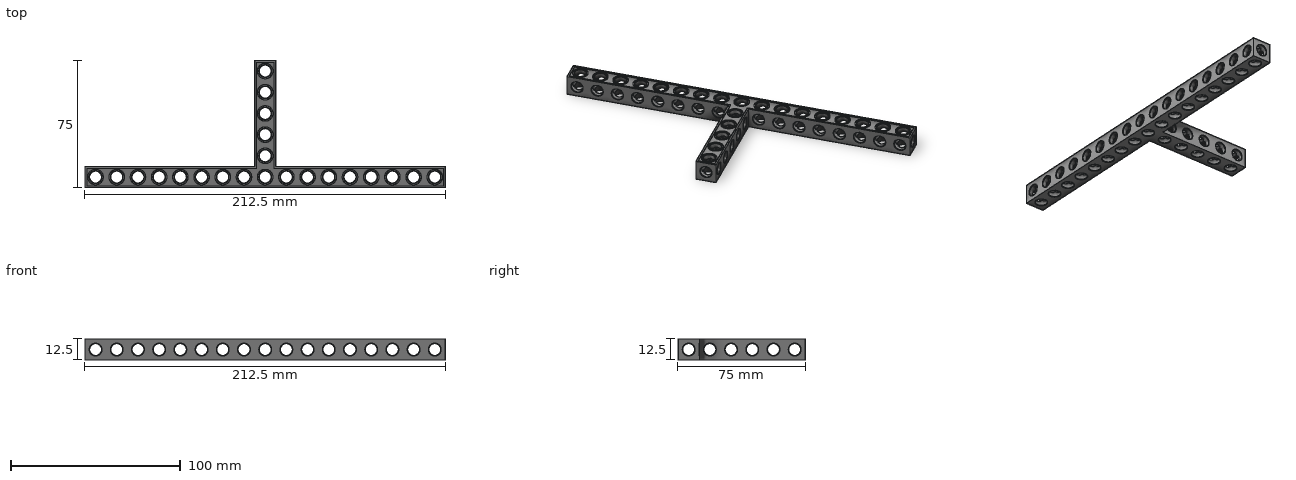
import cadquery as cq

pitch = 12.5
bar_holes = 17
branch_holes = 5
hole_diameter = 7.0
hole_chamfer = 0.3
hub_diameter = 9.2
rim_width = 1.1
recess_depth = 0.3

half = pitch / 2
bar_length = bar_holes * pitch
branch_end = branch_holes * pitch + half
bar_positions = [(i - (bar_holes - 1) / 2) * pitch for i in range(bar_holes)]
branch_positions = [(j + 1) * pitch for j in range(branch_holes)]
vertical_centers = [(x, 0) for x in bar_positions] + [(0, y) for y in branch_positions]


def tee_prism(inset, bottom, height):
    """T-shaped prism with its outline moved inward by the inset."""
    bar = (
        cq.Workplane("XY", origin=(0, 0, bottom))
        .rect(bar_length - 2 * inset, pitch - 2 * inset)
        .extrude(height)
    )
    branch_length = branch_end - inset
    branch = (
        cq.Workplane("XY", origin=(0, branch_length / 2, bottom))
        .rect(pitch - 2 * inset, branch_length)
        .extrude(height)
    )
    return bar.union(branch)


def top_recess():
    """Shallow T-shaped pocket that leaves the hubs standing."""
    bottom = half - recess_depth
    hubs = (
        cq.Workplane("XY", origin=(0, 0, bottom))
        .pushPoints(vertical_centers)
        .circle(hub_diameter / 2)
        .extrude(recess_depth)
    )
    return tee_prism(rim_width, bottom, recess_depth).cut(hubs)


def hole_cutter(start, direction, length):
    """Round through hole with a chamfer widening it at both ends."""
    radius = hole_diameter / 2
    mouth_radius = radius + hole_chamfer
    profile = [
        (0, 0),
        (mouth_radius, 0),
        (radius, hole_chamfer),
        (radius, length - hole_chamfer),
        (mouth_radius, length),
        (0, length),
    ]
    solid = cq.Workplane("XY").polyline(profile).close().revolve(360, (0, 0), (0, 1)).val()
    upright = solid.rotate(cq.Vector(0, 0, 0), cq.Vector(1, 0, 0), 90)
    return upright.moved(cq.Plane(origin=start, normal=direction).location)


def all_holes():
    """Cutters for the vertical, crosswise and lengthwise holes."""
    cutters = [hole_cutter((x, y, -half), (0, 0, 1), pitch) for x, y in vertical_centers]
    for x in bar_positions:
        length = branch_end + half if x == 0 else pitch
        cutters.append(hole_cutter((x, -half, 0), (0, 1, 0), length))
    for y in branch_positions:
        cutters.append(hole_cutter((-half, y, 0), (1, 0, 0), pitch))
    cutters.append(hole_cutter((-bar_length / 2, 0, 0), (1, 0, 0), bar_length))
    return cutters


body = tee_prism(0, -half, pitch).cut(top_recess())
for cutter in all_holes():
    body = body.cut(cq.Workplane(cutter))

result = body